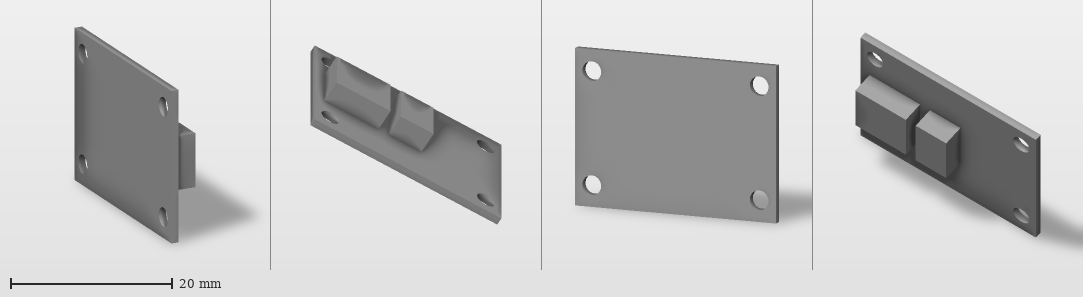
import cadquery as cq

board_length = 27.0
board_height = 20.0
board_thickness = 1.0

hole_diameter = 2.5
hole_spacing_x = 22.5
hole_spacing_z = 14.5

total_depth = 4.0
block_depth = total_depth - board_thickness
block_bottom = 6.35
block_height = 7.1
narrow_block_left = 11.6
narrow_block_width = 4.7
block_gap = 1.5
wide_block_left = narrow_block_left + narrow_block_width + block_gap
wide_block_width = 7.78


def make_board():
    """Rectangular plate with a through hole near each corner."""
    plate = cq.Workplane("XY").box(board_length, board_thickness, board_height)
    drilled = (
        plate.faces("<Y")
        .workplane(centerOption="CenterOfMass")
        .rect(hole_spacing_x, hole_spacing_z, forConstruction=True)
        .vertices()
        .hole(hole_diameter)
    )
    return drilled.translate((board_length / 2, board_thickness / 2, board_height / 2))


def make_block(left, width):
    """Rectangular component standing on the back face of the board."""
    block = cq.Workplane("XY").box(width, block_depth, block_height, centered=False)
    return block.translate((left, board_thickness, block_bottom))


result = make_board()
for left, width in (
    (narrow_block_left, narrow_block_width),
    (wide_block_left, wide_block_width),
):
    result = result.union(make_block(left, width))